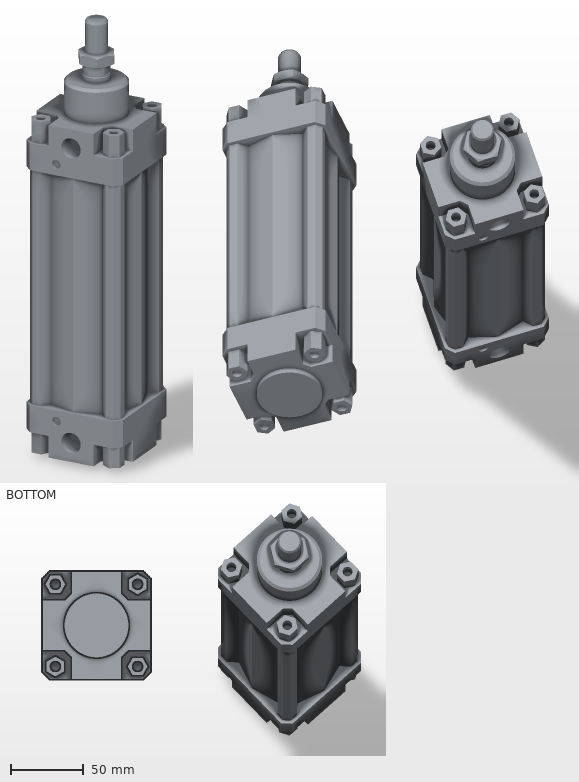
import cadquery as cq
import math

STROKE = 125.0
BODY_LENGTH = 121.0 + STROKE
REAR_FACE = 4.0
FRONT_FACE = REAR_FACE + BODY_LENGTH
SHOULDER = FRONT_FACE + 37.0
ROD_END = SHOULDER + 32.0

CAP_WIDTH = 75.0
CAP_HEIGHT = 36.0
CAP_CHAMFER = 5.5
SPIGOT_DIAMETER = 45.0
BEARING_HEIGHT = 25.0
BEARING_TOP = FRONT_FACE + BEARING_HEIGHT
BEARING_CHAMFER = 2.0

POCKET_DEPTH = 16.0
POCKET_INNER = 17.5
POCKET_CHAMFER = 4.5
TIE_ROD_OFFSET = 56.5 / 2
TIE_NUT_FLATS = 13.0
TIE_NUT_BORE = 6.8
TIE_NUT_BORE_DEPTH = 12.0
DRILL_POINT_ANGLE = math.radians(120)

PORT_DIAMETER = 15.0
PORT_SETBACK = 14.0
PORT_DEPTH = 14.0
SCREW_DIAMETER = 6.5
SCREW_SETBACK = 28.0
SCREW_X = -11.5
SCREW_DEPTH = 2.0

BARREL_HALF = 35.0
BARREL_CHAMFER = 3.75
GROOVE_OUTER = 25.5
GROOVE_DEPTH = 5.8

ROD_DIAMETER = 20.0
NECK_DIAMETER = 19.2
NECK_START = SHOULDER - 8.0
ROD_FLATS = 17.0
ROD_FLATS_LENGTH = 7.0
THREAD_DIAMETER = 16.0
THREAD_CHAMFER = 1.0
THREAD_CHAMFER_LENGTH = 2.0

NUT_FLATS = 24.0
NUT_HEIGHT = 8.0
NUT_CHAMFER_ANGLE = math.radians(30)

HEXAGON_HALF_ANGLE = math.radians(30)


def across_corners(flats):
    return flats / math.cos(HEXAGON_HALF_ANGLE)


def barrel_section():
    """Square with chamfered corners and a wide ridge between two grooves on each side."""
    corner = BARREL_HALF - BARREL_CHAMFER
    groove_inner = GROOVE_OUTER - GROOVE_DEPTH
    groove_floor = BARREL_HALF - GROOVE_DEPTH
    side = [
        (-corner, -BARREL_HALF),
        (-GROOVE_OUTER, -BARREL_HALF),
        (-groove_inner, -groove_floor),
        (0, -BARREL_HALF),
        (groove_inner, -groove_floor),
        (GROOVE_OUTER, -BARREL_HALF),
        (corner, -BARREL_HALF),
    ]
    points = []
    for _ in range(4):
        points += side
        side = [(-y, x) for x, y in side]
    return points


def make_barrel():
    length = BODY_LENGTH - 2 * CAP_HEIGHT
    barrel = cq.Workplane("XY").polyline(barrel_section()).close().extrude(length)
    return barrel.translate((0, 0, REAR_FACE + CAP_HEIGHT))


def make_cap():
    """End cap standing on z = 0, with its mounting face on top."""
    cap = cq.Workplane("XY").box(CAP_WIDTH, CAP_WIDTH, CAP_HEIGHT, centered=(True, True, False))
    cap = cap.edges("|Z").chamfer(CAP_CHAMFER)

    pocket_floor = CAP_HEIGHT - POCKET_DEPTH
    pocket_size = CAP_WIDTH / 2 - POCKET_INNER
    pocket_middle = POCKET_INNER + pocket_size / 2
    for x_side in (-1, 1):
        for y_side in (-1, 1):
            pocket = (
                cq.Workplane("XY")
                .box(pocket_size, pocket_size, POCKET_DEPTH, centered=(True, True, False))
                .edges("|Z and <X and <Y")
                .chamfer(POCKET_CHAMFER)
                .translate((pocket_middle, pocket_middle, pocket_floor))
            )
            if x_side < 0:
                pocket = pocket.mirror("YZ")
            if y_side < 0:
                pocket = pocket.mirror("XZ")
            turn = 0 if x_side == y_side else 90
            nut = make_tie_nut(turn)
            nut = nut.translate((x_side * TIE_ROD_OFFSET, y_side * TIE_ROD_OFFSET, pocket_floor))
            cap = cap.cut(pocket).union(nut)
    return cap


def make_tie_nut(turn):
    """Hexagon nut with a blind hole that ends in a drill point."""
    nut = cq.Workplane("XY").polygon(6, across_corners(TIE_NUT_FLATS)).extrude(POCKET_DEPTH)
    radius = TIE_NUT_BORE / 2
    bore_floor = POCKET_DEPTH - TIE_NUT_BORE_DEPTH
    point_depth = radius / math.tan(DRILL_POINT_ANGLE / 2)
    bore = (
        cq.Workplane("XZ")
        .polyline([
            (0, bore_floor - point_depth),
            (radius, bore_floor),
            (radius, POCKET_DEPTH),
            (0, POCKET_DEPTH),
        ])
        .close()
        .revolve(360, (0, 0, 0), (0, 1, 0))
    )
    return nut.cut(bore).rotate((0, 0, 0), (0, 0, 1), turn)


def side_hole(x, z, diameter, depth):
    """Cylinder reaching inward from the -Y side of a cap."""
    plane = cq.Workplane("XZ", origin=(x, -CAP_WIDTH / 2, z))
    return plane.circle(diameter / 2).extrude(-depth)


def make_housing():
    cap = make_cap()
    front_cap = cap.translate((0, 0, FRONT_FACE - CAP_HEIGHT))
    rear_cap = cap.mirror("XY").translate((0, 0, REAR_FACE + CAP_HEIGHT))
    bearing = (
        cq.Workplane("XY", origin=(0, 0, FRONT_FACE))
        .circle(SPIGOT_DIAMETER / 2)
        .extrude(BEARING_HEIGHT)
        .faces(">Z")
        .chamfer(BEARING_CHAMFER)
    )
    rear_spigot = cq.Workplane("XY").circle(SPIGOT_DIAMETER / 2).extrude(REAR_FACE)
    housing = make_barrel().union(front_cap).union(rear_cap).union(bearing).union(rear_spigot)

    for face, inward in ((FRONT_FACE, -1), (REAR_FACE, 1)):
        port_z = face + inward * PORT_SETBACK
        screw_z = face + inward * SCREW_SETBACK
        housing = housing.cut(side_hole(0, port_z, PORT_DIAMETER, PORT_DEPTH))
        housing = housing.cut(side_hole(SCREW_X, screw_z, SCREW_DIAMETER, SCREW_DEPTH))
    return housing


def make_rod():
    """Rod standing on the bearing, with a collar, a neck with wrench flats and a threaded end."""
    collar_radius = ROD_DIAMETER / 2
    neck_radius = NECK_DIAMETER / 2
    thread_radius = THREAD_DIAMETER / 2
    profile = [
        (0, BEARING_TOP),
        (collar_radius, BEARING_TOP),
        (collar_radius, NECK_START - (collar_radius - neck_radius)),
        (neck_radius, NECK_START),
        (neck_radius, SHOULDER),
        (thread_radius, SHOULDER),
        (thread_radius, ROD_END - THREAD_CHAMFER_LENGTH),
        (thread_radius - THREAD_CHAMFER, ROD_END),
        (0, ROD_END),
    ]
    rod = cq.Workplane("XZ").polyline(profile).close().revolve(360, (0, 0, 0), (0, 1, 0))

    for side in (-1, 1):
        block = cq.Workplane("XY").box(
            ROD_DIAMETER, ROD_DIAMETER, ROD_FLATS_LENGTH, centered=(True, True, False)
        )
        block_x = side * (ROD_FLATS + ROD_DIAMETER) / 2
        rod = rod.cut(block.translate((block_x, 0, SHOULDER - ROD_FLATS_LENGTH)))
    return rod


def make_lock_nut():
    """Hexagon with both rims turned down to a 30 degree cone, resting on the rod shoulder."""
    rim = NUT_FLATS / 2
    corner = across_corners(NUT_FLATS) / 2
    drop = (corner - rim) * math.tan(NUT_CHAMFER_ANGLE)
    envelope = (
        cq.Workplane("XZ")
        .polyline([
            (0, 0),
            (rim, 0),
            (corner, drop),
            (corner, NUT_HEIGHT - drop),
            (rim, NUT_HEIGHT),
            (0, NUT_HEIGHT),
        ])
        .close()
        .revolve(360, (0, 0, 0), (0, 1, 0))
    )
    hexagon = cq.Workplane("XY").polygon(6, 2 * corner).extrude(NUT_HEIGHT)
    bore = cq.Workplane("XY").circle(THREAD_DIAMETER / 2).extrude(NUT_HEIGHT)
    return hexagon.intersect(envelope).cut(bore).translate((0, 0, SHOULDER))


housing = make_housing()
rod = make_rod()
lock_nut = make_lock_nut()

result = cq.Compound.makeCompound([housing.val(), rod.val(), lock_nut.val()])